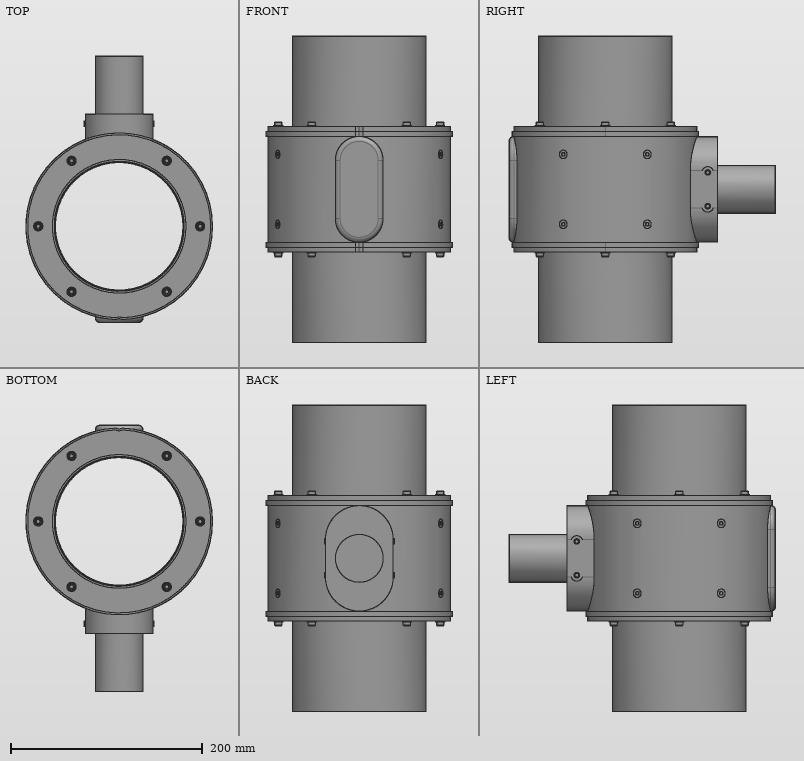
import cadquery as cq
import math

total_height = 320.0
pipe_outer_diameter = 139.5
pipe_inner_diameter = 135.7
middle_bore_diameter = 133.0

housing_diameter = 191.0
housing_height = 110.7
ring_diameter = 195.0
ring_thickness = 5.0
cover_thickness = 5.0

collar_width = 70.7
collar_height = 110.0
collar_end_y = 117.0
stub_diameter = 50.0
stub_end_y = 177.5

pad_width = 50.0
pad_height = 110.5
pad_face_y = -100.5
pad_rim_radius = 5.0

groove_width = 7.7
groove_floor_width = 1.0
groove_depth = 1.0

cover_screw_circle_radius = 84.5
cover_screw_angle = 54
cover_screw_angles = [
    0,
    cover_screw_angle,
    180 - cover_screw_angle,
    180,
    180 + cover_screw_angle,
    360 - cover_screw_angle,
]
washer_diameter = 9.5
washer_thickness = 1.0
cap_diameter = 7.7
cap_height = 4.0
cap_edge_chamfer = 0.5
cap_socket_across_corners = 4.5
cap_socket_depth = 2.2

wall_screw_angle = 27.3
wall_screw_angles = [
    wall_screw_angle,
    180 - wall_screw_angle,
    180 + wall_screw_angle,
    360 - wall_screw_angle,
]
wall_screw_height = 36.5
wall_screw_diameter = 9.0
wall_screw_protrusion = 0.3
wall_screw_socket_diameter = 4.0
wall_screw_socket_depth = 1.0

collar_screw_y = 107.0
collar_screw_height = 17.5
collar_boss_diameter = 12.2
collar_screw_diameter = 5.8
collar_screw_protrusion = 1.12
collar_screw_socket_diameter = 4.0
collar_screw_socket_depth = 0.5

screw_root_depth = 3.2

mid_z = total_height / 2
ring_half_height = housing_height / 2 + ring_thickness
cover_half_height = ring_half_height + cover_thickness


def cylinder_z(diameter, half_height):
    """Cylinder on the Z axis, centred on the middle of the part."""
    return (
        cq.Workplane("XY", origin=(0, 0, mid_z - half_height))
        .circle(diameter / 2)
        .extrude(2 * half_height)
    )


def stadium_y(width, height, end_y):
    """Upright stadium section reaching from the Z axis to end_y."""
    prism = cq.Workplane("XZ", origin=(0, 0, mid_z)).slot2D(height, width, 90)
    return prism.extrude(-end_y)


def make_housing():
    housing = cylinder_z(pipe_outer_diameter, total_height / 2)
    housing = housing.union(cylinder_z(housing_diameter, cover_half_height))
    rings = cylinder_z(ring_diameter, ring_half_height)
    rings = rings.cut(cylinder_z(ring_diameter, housing_height / 2))
    return housing.union(rings)


def make_branch():
    collar = stadium_y(collar_width, collar_height, collar_end_y)
    stub = (
        cq.Workplane("XZ", origin=(0, 0, mid_z))
        .circle(stub_diameter / 2)
        .extrude(-stub_end_y)
    )
    return collar.union(stub)


def make_pad():
    pad = stadium_y(pad_width, pad_height, pad_face_y)
    return pad.faces("<Y").edges().fillet(pad_rim_radius)


def make_bore():
    """Bore that narrows slightly inside the housing."""
    stub_bores = cylinder_z(pipe_inner_diameter, total_height / 2)
    stub_bores = stub_bores.cut(cylinder_z(pipe_inner_diameter, cover_half_height))
    return stub_bores.union(cylinder_z(middle_bore_diameter, cover_half_height))


def make_grooves():
    """Tapered grooves with a narrow flat floor in the rim of each ring and cover."""
    def groove_at(rim_diameter, half_height):
        rim_y = -math.sqrt((rim_diameter / 2) ** 2 - (groove_width / 2) ** 2)
        floor_y = -rim_diameter / 2 + groove_depth
        outside_y = -ring_diameter / 2
        return (
            cq.Workplane("XY", origin=(0, 0, mid_z - half_height))
            .moveTo(-groove_width / 2, outside_y)
            .lineTo(-groove_width / 2, rim_y)
            .lineTo(-groove_floor_width / 2, floor_y)
            .lineTo(groove_floor_width / 2, floor_y)
            .lineTo(groove_width / 2, rim_y)
            .lineTo(groove_width / 2, outside_y)
            .close()
            .extrude(2 * half_height)
        )

    ring_grooves = groove_at(ring_diameter, ring_half_height)
    ring_grooves = ring_grooves.cut(cylinder_z(2 * ring_diameter, housing_height / 2))
    cover_grooves = groove_at(housing_diameter, cover_half_height)
    cover_grooves = cover_grooves.cut(cylinder_z(2 * ring_diameter, ring_half_height))
    return ring_grooves.union(cover_grooves)


def make_cap_screw():
    """Cap screw on its washer, seated at the origin and pointing to +Z."""
    washer = cq.Workplane("XY").circle(washer_diameter / 2).extrude(washer_thickness)
    cap = (
        cq.Workplane("XY", origin=(0, 0, washer_thickness))
        .circle(cap_diameter / 2)
        .extrude(cap_height)
        .faces(">Z").edges().chamfer(cap_edge_chamfer)
        .faces(">Z").workplane()
        .polygon(6, cap_socket_across_corners)
        .cutBlind(-cap_socket_depth)
    )
    return washer.union(cap)


def make_cover_screws():
    upper_screw = make_cap_screw().translate((cover_screw_circle_radius, 0, mid_z + cover_half_height))
    lower_screw = upper_screw.mirror("XY", (0, 0, mid_z))
    return [
        screw.rotate((0, 0, 0), (0, 0, 1), angle)
        for angle in cover_screw_angles
        for screw in (upper_screw, lower_screw)
    ]


def place_on_wall(shape, z, angle):
    """Lift a shape to height z and turn it about the Z axis."""
    return shape.translate((0, 0, z)).rotate((0, 0, 0), (0, 0, 1), angle)


def make_wall_screws():
    """Pairs of screw body and socket; the sockets reach below the wall surface."""
    root_x = housing_diameter / 2 - screw_root_depth
    screw = (
        cq.Workplane("YZ", origin=(root_x, 0, 0))
        .circle(wall_screw_diameter / 2)
        .extrude(screw_root_depth + wall_screw_protrusion)
    )
    socket = (
        cq.Workplane("YZ", origin=(housing_diameter / 2 + wall_screw_protrusion, 0, 0))
        .circle(wall_screw_socket_diameter / 2)
        .extrude(-wall_screw_socket_depth)
    )
    return [
        (place_on_wall(screw, z, angle), place_on_wall(socket, z, angle))
        for angle in wall_screw_angles
        for z in (mid_z - wall_screw_height, mid_z + wall_screw_height)
    ]


def make_collar_screws():
    flat_x = collar_width / 2
    boss_and_screw = (
        cq.Workplane("YZ", origin=(flat_x - screw_root_depth, collar_screw_y, 0))
        .circle(collar_boss_diameter / 2)
        .extrude(screw_root_depth)
        .faces(">X").workplane()
        .circle(collar_screw_diameter / 2)
        .extrude(collar_screw_protrusion)
        .faces(">X").workplane()
        .circle(collar_screw_socket_diameter / 2)
        .cutBlind(-collar_screw_socket_depth)
    )
    upper_and_lower = [
        boss_and_screw.translate((0, 0, z))
        for z in (mid_z - collar_screw_height, mid_z + collar_screw_height)
    ]
    return upper_and_lower + [screw.mirror("YZ") for screw in upper_and_lower]


result = make_housing().union(make_branch()).union(make_pad())
result = result.cut(make_bore()).cut(make_grooves())
for screw in make_cover_screws() + make_collar_screws():
    result = result.union(screw)
for screw, socket in make_wall_screws():
    result = result.union(screw).cut(socket)